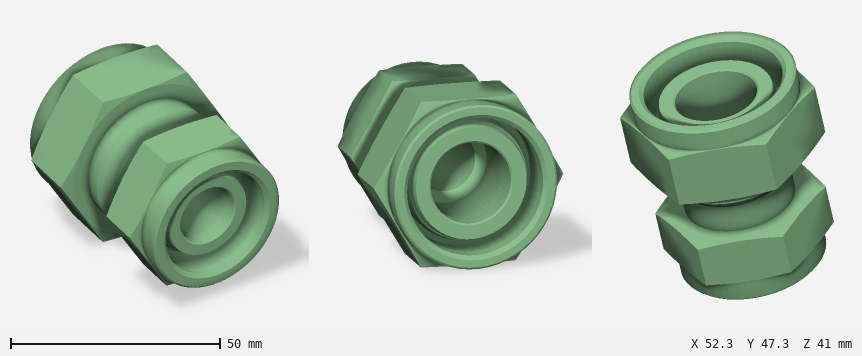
import cadquery as cq
import math


total_length = 52.3

large_flats = 41.0
large_hex_length = 15.0
large_collar_length = 5.6
large_flange_radius = 16.55

small_flats = 35.9
small_hex_length = 12.0
small_collar_length = 5.6
small_neck_radius = 13.5

collar_inset = 0.2
collar_chamfer = 0.5
hex_chamfer_angle = 15.0
bore_clearance = 0.4
mouth_chamfer = 1.0
shoulder_depth = 11.5

tip_depth = 4.15
flange_end = 24.4
large_bore_radius = 10.0
small_bore_radius = 7.55
bore_chamfer = 0.4
bore_taper_start = 24.4
bore_taper_angle = 59.0
tip_inset = 2.7
cone_half_angle = 12.0
cone_rise = 0.5


def revolve_about_x(points):
    """Revolve an (x, radius) outline about the X axis."""
    return cq.Workplane("XY").polyline(points).close().revolve(360, (0, 0, 0), (1, 0, 0))


def chamfered_hexagon(flats, start, length):
    """Hexagonal prism along X with its corners chamfered at both ends."""
    corner_radius = flats / math.sqrt(3)
    drop = (corner_radius - flats / 2) * math.tan(math.radians(hex_chamfer_angle))
    end = start + length
    prism = cq.Workplane("YZ", origin=(start, 0, 0)).polygon(6, 2 * corner_radius).extrude(length)
    envelope = revolve_about_x([
        (start, 0),
        (start, flats / 2),
        (start + drop, corner_radius),
        (end - drop, corner_radius),
        (end, flats / 2),
        (end, 0),
    ])
    return prism.intersect(envelope)


def make_nut(flats, hex_length, collar_length, body_radius):
    """Nut with its collar end at X = 0 and its hexagon toward +X."""
    length = collar_length + hex_length
    collar_radius = flats / 2 - collar_inset
    bore_radius = body_radius + bore_clearance
    collar = revolve_about_x([
        (0, 0),
        (0, collar_radius - collar_chamfer),
        (collar_chamfer, collar_radius),
        (collar_length, collar_radius),
        (collar_length, 0),
    ])
    bore = revolve_about_x([
        (0, 0),
        (0, bore_radius + mouth_chamfer),
        (mouth_chamfer, bore_radius),
        (shoulder_depth, bore_radius),
        (shoulder_depth, body_radius),
        (length, body_radius),
        (length, 0),
    ])
    return chamfered_hexagon(flats, collar_length, hex_length).union(collar).cut(bore)


def end_outline(body_radius):
    """Outer (depth, radius) points of one body end, from its tip to full radius."""
    tip_radius = body_radius - tip_inset
    cone_length = cone_rise / math.tan(math.radians(cone_half_angle))
    step_start = tip_depth + cone_length
    step_end = step_start + cone_rise
    return [
        (tip_depth, tip_radius),
        (step_start, tip_radius + cone_rise),
        (step_end, tip_radius + 2 * cone_rise),
        (step_end + cone_length, tip_radius + 3 * cone_rise),
        (shoulder_depth, tip_radius + 3 * cone_rise),
        (shoulder_depth, body_radius),
    ]


def make_body():
    """Stepped tube with a large end toward -X and a small end toward +X."""
    neck_start = flange_end + large_flange_radius - small_neck_radius
    tip_end = total_length - tip_depth
    large_end = end_outline(large_flange_radius)
    small_end = [(total_length - depth, radius) for depth, radius in end_outline(small_neck_radius)]
    bore_taper_length = (large_bore_radius - small_bore_radius) / math.tan(math.radians(bore_taper_angle))
    bore = [
        (tip_end, small_bore_radius + bore_chamfer),
        (tip_end - bore_chamfer, small_bore_radius),
        (bore_taper_start + bore_taper_length, small_bore_radius),
        (bore_taper_start, large_bore_radius),
        (tip_depth + bore_chamfer, large_bore_radius),
        (tip_depth, large_bore_radius + bore_chamfer),
    ]
    step = [(flange_end, large_flange_radius), (neck_start, small_neck_radius)]
    return revolve_about_x(large_end + step + small_end[::-1] + bore)


body = make_body()
large_nut = make_nut(large_flats, large_hex_length, large_collar_length, large_flange_radius)
small_nut = (
    make_nut(small_flats, small_hex_length, small_collar_length, small_neck_radius)
    .rotate((0, 0, 0), (0, 0, 1), 180)
    .translate((total_length, 0, 0))
)

result = cq.Compound.makeCompound([body.val(), large_nut.val(), small_nut.val()])